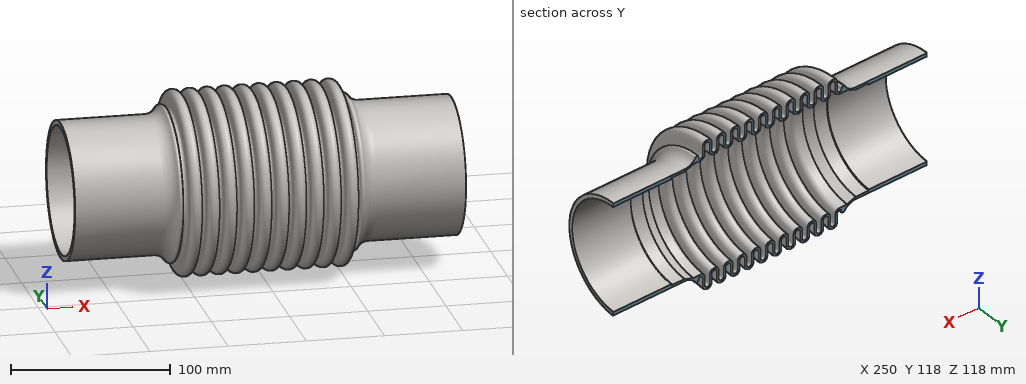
import cadquery as cq
import math

length = 250.0
half_length = length / 2

pipe_outer_radius = 88.8 / 2
pipe_bore_radius = 82.5 / 2
relief_bore_radius = 84.2 / 2
relief_start = 78.5

crest_count = 10
crest_span = 100.0
pitch = crest_span / (crest_count - 1)
crest_radius = 59.0
root_radius = 46.8
wall = 2.0
bend_radius = pitch / 4
bellows_half_length = (crest_span + pitch) / 2

collar_start = 68.2
rim_radius = 50.0
rim_round = 1.5
rim_middle = 58.2
bore_cone_end = 61.2

diagonal = math.sqrt(0.5)


def revolve_about_x(profile):
    return profile.close().revolve(360, (0, 0, 0), (1, 0, 0))


def tube(outer_radius, inner_radius, start, end):
    ring = cq.Workplane("YZ").workplane(offset=start).circle(outer_radius).circle(inner_radius)
    return ring.extrude(end - start)


def bellows_envelope(offset):
    """Solid bounded by the mid-wall wave moved outward by offset."""
    crest_bend = bend_radius + offset
    root_bend = bend_radius - offset
    top = crest_radius - wall / 2 + offset
    bottom = root_radius - wall / 2 + offset
    crest_spring = top - crest_bend
    root_spring = bottom + root_bend
    crest_quarter_height = crest_spring + crest_bend * diagonal
    root_quarter_height = root_spring - root_bend * diagonal
    first_crest = -crest_span / 2

    profile = (
        cq.Workplane("XY")
        .moveTo(-bellows_half_length, 0)
        .lineTo(-bellows_half_length, bottom)
    )
    for index in range(crest_count):
        crest = first_crest + index * pitch
        left_root = crest - pitch / 2
        right_root = crest + pitch / 2
        profile = (
            profile
            .threePointArc(
                (left_root + root_bend * diagonal, root_quarter_height),
                (left_root + root_bend, root_spring),
            )
            .lineTo(crest - crest_bend, crest_spring)
            .threePointArc((crest - crest_bend * diagonal, crest_quarter_height), (crest, top))
            .threePointArc(
                (crest + crest_bend * diagonal, crest_quarter_height),
                (crest + crest_bend, crest_spring),
            )
            .lineTo(right_root - root_bend, root_spring)
            .threePointArc(
                (right_root - root_bend * diagonal, root_quarter_height),
                (right_root, bottom),
            )
        )
    return revolve_about_x(profile.lineTo(bellows_half_length, 0))


def collar():
    """Flared ring at the +X end: concave flare up to a rounded rim, with a bore that opens conically."""
    rim_centre_radius = rim_radius - rim_round
    run = collar_start - rim_middle
    rise = rim_centre_radius - pipe_outer_radius
    flare_radius = (run**2 + rise**2 - rim_round**2) / (2 * (rim_round + rise))
    flare_sweep = math.asin(run / (flare_radius + rim_round))

    def flare_point(angle):
        return (
            collar_start - flare_radius * math.sin(angle),
            pipe_outer_radius + flare_radius * (1 - math.cos(angle)),
        )

    rim_inner_side = rim_middle - rim_round
    foot_round = rim_inner_side - bellows_half_length
    foot_middle = (
        bellows_half_length + foot_round * diagonal,
        root_radius + foot_round * (1 - diagonal),
    )
    bellows_bore_radius = root_radius - wall
    profile = (
        cq.Workplane("XY")
        .moveTo(collar_start, relief_bore_radius)
        .lineTo(collar_start, pipe_outer_radius)
        .threePointArc(flare_point(flare_sweep / 2), flare_point(flare_sweep))
        .threePointArc((rim_middle, rim_radius), (rim_inner_side, rim_centre_radius))
        .lineTo(rim_inner_side, root_radius + foot_round)
        .threePointArc(foot_middle, (bellows_half_length, root_radius))
        .lineTo(bellows_half_length, bellows_bore_radius)
        .lineTo(bore_cone_end, bellows_bore_radius)
    )
    return revolve_about_x(profile)


def pipe():
    """Pipe end at +X, with the wider bore towards the bellows."""
    plain_length = tube(pipe_outer_radius, pipe_bore_radius, relief_start, half_length)
    relieved_length = tube(pipe_outer_radius, relief_bore_radius, collar_start, relief_start)
    return plain_length.union(relieved_length)


bellows = bellows_envelope(wall / 2).cut(bellows_envelope(-wall / 2))
end_fitting = pipe().union(collar())
result = bellows.union(end_fitting).union(end_fitting.mirror("YZ"))